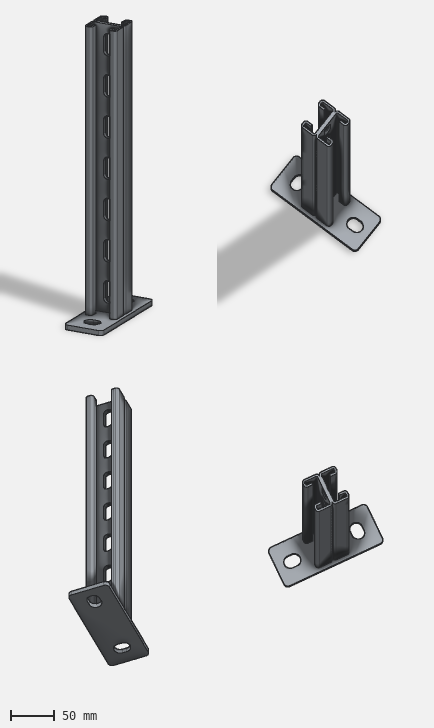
import cadquery as cq

total_height = 356.0

plate_width = 50.0
plate_length = 125.0
plate_thickness = 6.0
plate_corner_radius = 5.0
anchor_slot_length = 20.0
anchor_slot_width = 15.0
lengthwise_slot_y = 42.5
crosswise_slot_y = -40.0

channel_width = 41.0
channel_depth = 21.0
wall = 2.5
lip_width = 9.5
lip_length = 10.0
bend_radius = 3.5
inner_bend_radius = bend_radius - wall
channel_height = total_height - plate_thickness

slot_count = 7
slot_pitch = channel_height / slot_count
slot_length = 27.0
slot_width = 10.7


def anchor_slot(y, angle):
    """Cutter for a round-ended slot through the plate, centred on the Y axis."""
    return (
        cq.Workplane("XY")
        .center(0, y)
        .slot2D(anchor_slot_length, anchor_slot_width, angle)
        .extrude(plate_thickness)
    )


def make_base_plate():
    """Rounded plate with one anchor slot along Y and one along X."""
    plate = cq.Workplane("XY").box(plate_width, plate_length, plate_thickness, centered=(True, True, False))
    plate = plate.edges("|Z").fillet(plate_corner_radius)
    return plate.cut(anchor_slot(lengthwise_slot_y, 90)).cut(anchor_slot(crosswise_slot_y, 0))


def round_upright_edges(body, corners, radius):
    """Fillet the upright edges at the given X, Y corners and at their mirror images across X = 0."""
    for x, y in corners:
        for side in (-1, 1):
            edge = cq.selectors.NearestToPointSelector((side * x, y, channel_height / 2))
            body = body.edges(edge).fillet(radius)
    return body


def make_channel():
    """Lipped channel with its back on the XZ plane, opening toward +Y."""
    outer_x = channel_width / 2
    inner_x = outer_x - wall
    mouth_x = outer_x - lip_width
    lip_inner_x = mouth_x + wall
    inner_y = channel_depth - wall
    lip_end_y = channel_depth - lip_length

    outer_bends = [(outer_x, 0), (outer_x, channel_depth), (mouth_x, channel_depth)]
    inner_bends = [(lip_inner_x, inner_y), (inner_x, inner_y), (inner_x, wall)]
    lip_end = [(mouth_x, lip_end_y), (lip_inner_x, lip_end_y)]

    right_side = outer_bends + lip_end + inner_bends
    left_side = [(-x, y) for x, y in reversed(right_side)]
    channel = cq.Workplane("XY").polyline(right_side + left_side).close().extrude(channel_height)
    channel = round_upright_edges(channel, outer_bends, bend_radius)
    return round_upright_edges(channel, inner_bends, inner_bend_radius)


def make_back_slots():
    """Cutters for the row of upright slots through both backs, one in the middle of each pitch of the post."""
    return (
        cq.Workplane("XZ")
        .center(0, plate_thickness + channel_height / 2)
        .rarray(3.5, slot_pitch, 1, slot_count)
        .slot2D(slot_length, slot_width, 90)
        .extrude(wall, both=True)
    )


channel = make_channel().translate((0, 0, plate_thickness))
post = channel.union(channel.mirror("XZ")).cut(make_back_slots())
result = make_base_plate().union(post)